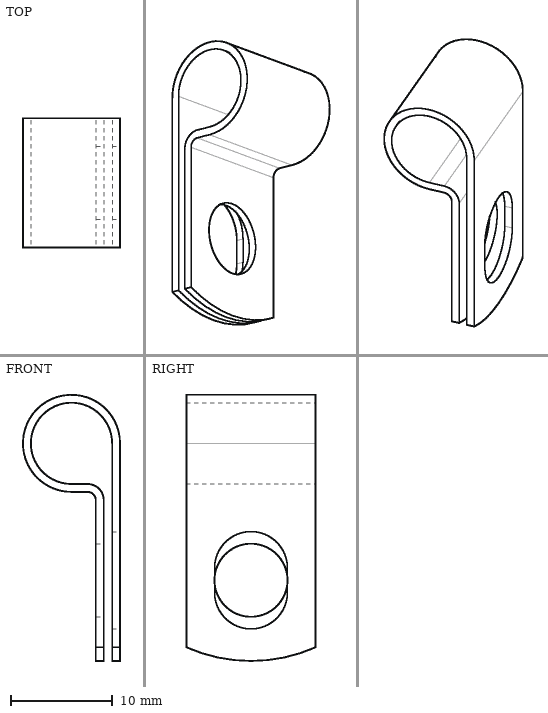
import math

import cadquery as cq

thickness = 0.8
loop_diameter = 9.55
clamp_width = 12.7
total_height = 26.13
leg_gap = 0.8
bend_inner_radius = 0.8
hole_diameter = 7.15
hole_height = 7.93
slot_length = 9.55
tip_rise = 1.35

outer_radius = loop_diameter / 2
inner_radius = outer_radius - thickness
half_width = clamp_width / 2
bottom_z = outer_radius - total_height
hole_z = bottom_z + hole_height

short_leg_right = inner_radius - leg_gap
short_leg_left = short_leg_right - thickness
bend_outer_radius = bend_inner_radius + thickness
bend_x = short_leg_left - bend_inner_radius
bend_z = -outer_radius - bend_inner_radius


def diagonal(radius):
    """X and Z distance from an arc centre to its point at 45 degrees."""
    return radius * math.sqrt(0.5)


def bend_middle(radius):
    """Point halfway along the quarter bend at the given radius."""
    return (bend_x + diagonal(radius), bend_z + diagonal(radius))


def loop_middle(radius):
    """Point halfway along the three-quarter loop at the given radius."""
    return (-diagonal(radius), diagonal(radius))


def make_strip():
    """Bent sheet: long leg, three-quarter loop, quarter bend and short leg."""
    return (
        cq.Workplane("XZ")
        .moveTo(outer_radius, bottom_z)
        .lineTo(outer_radius, 0)
        .threePointArc(loop_middle(outer_radius), (0, -outer_radius))
        .lineTo(bend_x, -outer_radius)
        .threePointArc(bend_middle(bend_inner_radius), (short_leg_left, bend_z))
        .lineTo(short_leg_left, bottom_z)
        .lineTo(short_leg_right, bottom_z)
        .lineTo(short_leg_right, bend_z)
        .threePointArc(bend_middle(bend_outer_radius), (bend_x, -inner_radius))
        .lineTo(0, -inner_radius)
        .threePointArc(loop_middle(inner_radius), (inner_radius, 0))
        .lineTo(inner_radius, bottom_z)
        .close()
        .extrude(half_width, both=True)
    )


def make_face_outline():
    """Block bounding the clamp seen along X, with a bowed lower edge."""
    tip_z = bottom_z + tip_rise
    return (
        cq.Workplane("YZ")
        .moveTo(-half_width, outer_radius)
        .lineTo(-half_width, tip_z)
        .threePointArc((0, bottom_z), (half_width, tip_z))
        .lineTo(half_width, outer_radius)
        .close()
        .extrude(outer_radius, both=True)
    )


def make_round_hole():
    """Cylinder along X through the short leg only."""
    return (
        cq.Workplane("YZ", origin=(short_leg_left, 0, hole_z))
        .circle(hole_diameter / 2)
        .extrude(thickness)
    )


def make_slot():
    """Upright slot along X through the long leg, level with the round hole."""
    return (
        cq.Workplane("YZ", origin=(inner_radius, 0, hole_z))
        .slot2D(slot_length, hole_diameter, angle=90)
        .extrude(thickness)
    )


result = (
    make_strip()
    .intersect(make_face_outline())
    .cut(make_round_hole())
    .cut(make_slot())
)